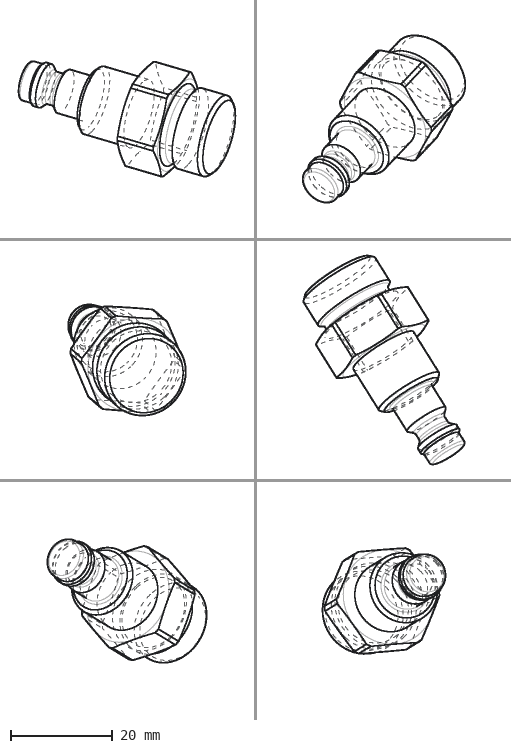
import cadquery as cq
import math

TOTAL_LENGTH = 42.0

TIP_RADIUS = 8.1 / 2
TIP_ROUND = 0.5
PLUG_RADIUS = 9.0 / 2
COLLAR_START = 3.0
COLLAR_END = 4.1
LOCK_GROOVE_RADIUS = 6.7 / 2
LOCK_GROOVE_ROUND = 0.9
LOCK_GROOVE_SLOPE = math.radians(45)
STEM_START = 8.2
STEM_END_ROUND = 0.5

BODY_START = 14.0
BODY_RADIUS = 14.0 / 2
BODY_CHAMFER = 0.8

HEX_START = 24.5
HEX_END = 33.0
HEX_ACROSS_FLATS = 19.0
HEX_CORNER_DIAMETER = 21.4
HEX_FACE_DIAMETER = 18.9
HEX_CHAMFER_ANGLE = 15.0
HEX_TILT = 7.9
HEX_SIDES = 6

THREAD_RADIUS = 16.66 / 2
THREAD_CHAMFER = 0.8
UNDERCUT_DEPTH = 1.0
UNDERCUT_RADIUS = THREAD_RADIUS - UNDERCUT_DEPTH
UNDERCUT_ROUND = 1.0
UNDERCUT_CENTER = 34.53
HEX_SIDE_SLOPE = math.radians(45)
THREAD_SIDE_SLOPE = math.radians(60)


def revolve_about_x(profile):
    """Turn a closed XY profile a full revolution about the X axis."""
    return profile.close().revolve(360, (0, 0, 0), (1, 0, 0))


def lock_groove_corner(wall_top_x, direction):
    """Wall end, arc middle and floor end of the blend between a groove wall and the floor.

    wall_top_x is where the wall meets the plug's outside; the floor lies in the given
    direction from it, 1 for +X and -1 for -X.
    """
    wall_run = (PLUG_RADIUS - LOCK_GROOVE_RADIUS) / math.tan(LOCK_GROOVE_SLOPE)
    floor_run = wall_run + LOCK_GROOVE_ROUND * math.tan(LOCK_GROOVE_SLOPE / 2)
    points = []
    for slope in (LOCK_GROOVE_SLOPE, LOCK_GROOVE_SLOPE / 2, 0):
        x = wall_top_x + direction * (floor_run - LOCK_GROOVE_ROUND * math.sin(slope))
        radius = LOCK_GROOVE_RADIUS + LOCK_GROOVE_ROUND * (1 - math.cos(slope))
        points.append((x, radius))
    return points


def make_plug():
    collar_step = PLUG_RADIUS - TIP_RADIUS
    collar_wall_end, collar_middle, collar_floor_end = lock_groove_corner(COLLAR_END, 1)
    stem_wall_end, stem_middle, stem_floor_end = lock_groove_corner(STEM_START, -1)
    profile = (
        cq.Workplane("XY")
        .moveTo(0, 0)
        .lineTo(0, TIP_RADIUS - TIP_ROUND)
        .radiusArc((TIP_ROUND, TIP_RADIUS), TIP_ROUND)
        .lineTo(COLLAR_START - collar_step, TIP_RADIUS)
        .lineTo(COLLAR_START, PLUG_RADIUS)
        .lineTo(COLLAR_END, PLUG_RADIUS)
        .lineTo(*collar_wall_end)
        .threePointArc(collar_middle, collar_floor_end)
        .lineTo(*stem_floor_end)
        .threePointArc(stem_middle, stem_wall_end)
        .lineTo(STEM_START, PLUG_RADIUS)
        .lineTo(BODY_START - STEM_END_ROUND, PLUG_RADIUS)
        .radiusArc((BODY_START, PLUG_RADIUS + STEM_END_ROUND), -STEM_END_ROUND)
        .lineTo(BODY_START, 0)
    )
    return revolve_about_x(profile)


def make_body():
    length = HEX_START - BODY_START
    body = cq.Workplane("YZ", origin=(BODY_START, 0, 0)).circle(BODY_RADIUS).extrude(length)
    return body.faces("<X").chamfer(BODY_CHAMFER)


def make_hexagon():
    length = HEX_END - HEX_START
    corner_radius = HEX_CORNER_DIAMETER / 2
    face_radius = HEX_FACE_DIAMETER / 2
    chamfer_length = (corner_radius - face_radius) * math.tan(math.radians(HEX_CHAMFER_ANGLE))
    sharp_corner_diameter = HEX_ACROSS_FLATS / math.cos(math.pi / HEX_SIDES)
    prism = (
        cq.Workplane("YZ", origin=(HEX_START, 0, 0))
        .polygon(HEX_SIDES, sharp_corner_diameter)
        .extrude(length)
        .rotate((0, 0, 0), (1, 0, 0), -HEX_TILT)
    )
    turned_blank = revolve_about_x(
        cq.Workplane("XY")
        .moveTo(HEX_START, 0)
        .lineTo(HEX_START, face_radius)
        .lineTo(HEX_START + chamfer_length, corner_radius)
        .lineTo(HEX_END - chamfer_length, corner_radius)
        .lineTo(HEX_END, face_radius)
        .lineTo(HEX_END, 0)
    )
    return prism.intersect(turned_blank)


def undercut_point(slope):
    """Point of the undercut's round bottom where its tangent has the given slope."""
    x = UNDERCUT_CENTER + UNDERCUT_ROUND * math.sin(slope)
    radius = UNDERCUT_RADIUS + UNDERCUT_ROUND * (1 - math.cos(slope))
    return x, radius


def make_threaded_end():
    hex_side_x, hex_side_radius = undercut_point(-HEX_SIDE_SLOPE)
    thread_side_x, thread_side_radius = undercut_point(THREAD_SIDE_SLOPE)
    mouth_radius = hex_side_radius + (hex_side_x - HEX_END) * math.tan(HEX_SIDE_SLOPE)
    thread_start = thread_side_x + (THREAD_RADIUS - thread_side_radius) / math.tan(THREAD_SIDE_SLOPE)
    profile = (
        cq.Workplane("XY")
        .moveTo(HEX_END, 0)
        .lineTo(HEX_END, mouth_radius)
        .lineTo(hex_side_x, hex_side_radius)
        .threePointArc(undercut_point(0), (thread_side_x, thread_side_radius))
        .lineTo(thread_start, THREAD_RADIUS)
        .lineTo(TOTAL_LENGTH - THREAD_CHAMFER, THREAD_RADIUS)
        .lineTo(TOTAL_LENGTH, THREAD_RADIUS - THREAD_CHAMFER)
        .lineTo(TOTAL_LENGTH, 0)
    )
    return revolve_about_x(profile)


result = make_plug().union(make_body()).union(make_hexagon()).union(make_threaded_end())